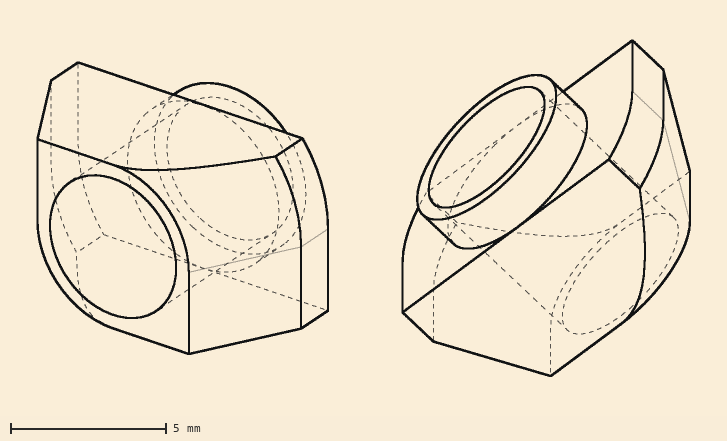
import cadquery as cq

length = 9.9
height = 6.0
bore_diameter = 5.0
taper_depth = 3.5
wing_depth = 1.5
collar_depth = 1.49

wing_radius = length / 2
front_radius = height / 2
body_depth = taper_depth + wing_depth
total_depth = body_depth + collar_depth


def make_tapered_block():
    """Full-height block whose sides narrow towards the front face."""
    return (
        cq.Workplane("XY")
        .workplane(offset=-height / 2)
        .moveTo(-front_radius, 0)
        .lineTo(front_radius, 0)
        .lineTo(wing_radius, taper_depth)
        .lineTo(wing_radius, body_depth)
        .lineTo(-wing_radius, body_depth)
        .lineTo(-wing_radius, taper_depth)
        .close()
        .extrude(height)
    )


def make_turned_envelope():
    """Cone and cylinder that round the corners, turned about the bore axis."""
    return (
        cq.Workplane("XY")
        .lineTo(front_radius, 0)
        .lineTo(wing_radius, taper_depth)
        .lineTo(wing_radius, body_depth)
        .lineTo(0, body_depth)
        .close()
        .revolve(360, (0, 0, 0), (0, 1, 0))
    )


def make_quadrant(side):
    """Box filling one quadrant: side +1 is right and below, -1 is left and above."""
    return (
        cq.Workplane("XY")
        .box(wing_radius, body_depth, front_radius)
        .translate((side * wing_radius / 2, body_depth / 2, -side * front_radius / 2))
    )


def make_cylinder(diameter, start, depth):
    """Cylinder on the bore axis, running towards +Y from the given start."""
    return (
        cq.Workplane("XZ", origin=(0, start, 0))
        .circle(diameter / 2)
        .extrude(-depth)
    )


envelope = make_turned_envelope()
for side in (-1, 1):
    envelope = envelope.union(make_quadrant(side))
body = make_tapered_block().intersect(envelope)

collar = make_cylinder(height, body_depth, collar_depth)
bore = make_cylinder(bore_diameter, 0, total_depth)
result = body.union(collar).cut(bore)